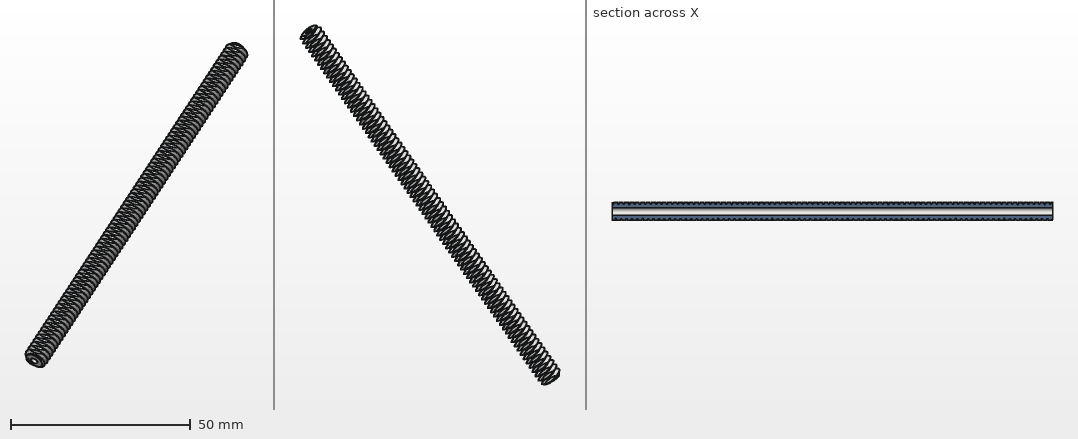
import cadquery as cq
import math

rod_length = 122.5
thread_diameter = 6.6
width_across_flats = 5.0
bore_diameter = 2.0
pitch = 1.5
thread_angle = 60.0
end_chamfer = 0.8
crest_start = pitch / 4

half_pitch = pitch / 2
crest_radius = thread_diameter / 2
thread_depth = half_pitch / math.tan(math.radians(thread_angle / 2))
root_radius = crest_radius - thread_depth
bore_radius = bore_diameter / 2

core_radius = (root_radius + bore_radius) / 2
sleeve_radius = (core_radius + bore_radius) / 2

lead_in_turns = 2
turn_count = math.ceil(rod_length / pitch) + 2 * lead_in_turns
overrun = (lead_in_turns + 2) * pitch
cutter_radius = 2 * crest_radius
tolerance = 1e-3

section_corners = [
    (sleeve_radius, -half_pitch),
    (root_radius, -half_pitch),
    (crest_radius, 0),
    (root_radius, half_pitch),
    (sleeve_radius, half_pitch),
]


def rise(turns):
    """Shift along the axis made by a number of turns."""
    return cq.Vector(0, 0, turns * pitch)


def helix(radius, height):
    """One turn of a right-hand helix that starts on the +X side."""
    return cq.Wire.makeHelix(pitch, pitch, radius).translate(cq.Vector(0, 0, height))


def section_face():
    """Flat face across the thread where a turn starts."""
    points = [cq.Vector(radius, 0, height) for radius, height in section_corners]
    return cq.Face.makeFromWires(cq.Wire.makePolygon(points, close=True))


def turn_faces():
    """Helical faces of one full turn: bottom, lower flank, upper flank, top, inside."""
    helices = [helix(radius, height) for radius, height in section_corners]
    next_helices = helices[1:] + helices[:1]
    return [cq.Face.makeRuledSurface(first, second) for first, second in zip(helices, next_helices)]


def solid_from(faces):
    """Solid enclosed by faces that meet edge to edge."""
    return cq.Solid.makeSolid(cq.Shell.makeShell(faces))


def is_outer_face(face):
    """True for the flank and flat faces, which stay on the surface once the turns are joined."""
    reaches_out = any(math.hypot(v.X, v.Y) > root_radius + tolerance for v in face.Vertices())
    is_section = face.BoundingBox().ylen < tolerance and abs(face.Center().y) < tolerance
    return reaches_out and not is_section


def thread_sleeve():
    """Threaded sleeve with two flats, made of equal turns joined into one closed shell."""
    helical = turn_faces()
    bottom, _, _, top, inside = helical
    start = section_face()
    full_turn = cq.Workplane(obj=solid_from(helical + [start, start.translate(rise(1))]))
    flat_block = cq.Workplane("XY").box(2 * thread_diameter, width_across_flats, overrun)
    flatted_turn = full_turn.intersect(flat_block)

    repeated = [face for face in flatted_turn.faces().vals() if is_outer_face(face)] + [inside]
    faces = [
        bottom,
        start,
        start.translate(rise(turn_count)),
        top.translate(rise(turn_count - 1)),
    ]
    for turn in range(turn_count):
        faces.extend(face.translate(rise(turn)) for face in repeated)
    return cq.Workplane(obj=solid_from(faces)).translate((0, 0, crest_start - lead_in_turns * pitch))


def bored_core():
    """Plain tube that fills the sleeve down to the bore and reaches past both of its ends."""
    return (
        cq.Workplane("XY", origin=(0, 0, -overrun))
        .circle(core_radius)
        .circle(bore_radius)
        .extrude(rod_length + 2 * overrun)
    )


def end_cutter():
    """Tool that faces the lower end at Z = 0 and chamfers its rim."""
    face_radius = crest_radius - end_chamfer
    cutter_depth = overrun + pitch
    return (
        cq.Workplane("XZ")
        .moveTo(0, 0)
        .lineTo(face_radius, 0)
        .lineTo(cutter_radius, cutter_radius - face_radius)
        .lineTo(cutter_radius, -cutter_depth)
        .lineTo(0, -cutter_depth)
        .close()
        .revolve(360, (0, 0), (0, 1))
    )


rod = thread_sleeve().union(bored_core(), clean=False)
lower_cutter = end_cutter()
upper_cutter = lower_cutter.mirror("XY").translate((0, 0, rod_length))
rod = rod.cut(lower_cutter, clean=False).cut(upper_cutter, clean=False)

result = rod.rotate((0, 0, 0), (1, 0, 0), -90)